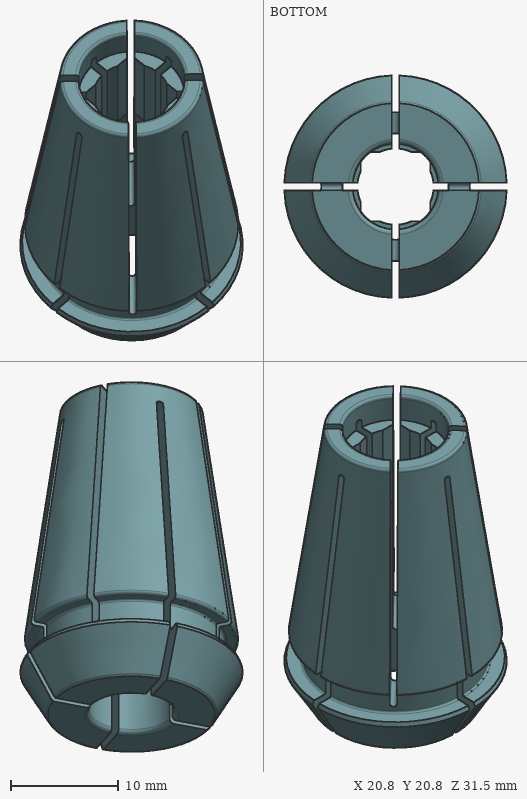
import cadquery as cq
import math

total_height = 31.5
flange_radius = 10.4
flange_top = 4.8
flange_edge_chamfer_height = 0.43
flange_edge_chamfer_width = 0.2
flange_half_angle = 30.0
bottom_chamfer = 0.2

groove_radius = 8.72
groove_top = 7.6
groove_corner_fillet = 0.2

cone_base_radius = 9.97
cone_base_z = 8.0
cone_half_angle = 8.0
cone_base_fillet = 0.3
top_edge_fillet = 0.3

mouth_radius = 4.95
mouth_depth = 2.8
square_side = 6.46
square_relief_radius = 3.55
square_length = 9.0
shank_radius = 4.0
mouth_edge_fillet = 0.3
shank_edge_fillet = 0.45

slit_width = 0.7
upward_slit_top = 29.5
downward_slit_bottom = 5.5
slit_end_tilt = 5.3
slit_overrun = 3.0
slits_per_direction = 4


def cone_radius(z):
    """Radius of the clamping cone at height z."""
    return cone_base_radius - (z - cone_base_z) * math.tan(math.radians(cone_half_angle))


def circle_at(radius, z):
    """Selector for the circular edge of the given radius lying at height z."""
    margin = 0.01
    outer = radius + margin
    inner = radius - margin
    at_height = cq.selectors.BoxSelector(
        (-outer, -outer, z - margin), (outer, outer, z + margin), boundingbox=True
    )
    smaller = cq.selectors.BoxSelector(
        (-inner, -inner, z - margin), (inner, inner, z + margin), boundingbox=True
    )
    return at_height - smaller


def make_body():
    """Turned outer shape: flange, groove and clamping cone."""
    flange_widest_z = flange_top - flange_edge_chamfer_height
    flange_slope = math.tan(math.radians(flange_half_angle))
    chamfer_radius = flange_radius - (flange_widest_z - bottom_chamfer) * flange_slope
    profile = [
        (0, 0),
        (chamfer_radius - bottom_chamfer, 0),
        (chamfer_radius, bottom_chamfer),
        (flange_radius, flange_widest_z),
        (flange_radius - flange_edge_chamfer_width, flange_top),
        (groove_radius, flange_top),
        (groove_radius, groove_top),
        (cone_radius(groove_top), groove_top),
        (cone_radius(total_height), total_height),
        (0, total_height),
    ]
    body = cq.Workplane("XZ").polyline(profile).close().revolve(360, (0, 0, 0), (0, 1, 0))
    body = body.edges(circle_at(groove_radius, flange_top)).fillet(groove_corner_fillet)
    body = body.edges(circle_at(groove_radius, groove_top)).fillet(groove_corner_fillet)
    body = body.edges(circle_at(cone_radius(groove_top), groove_top)).fillet(cone_base_fillet)
    return body.edges(circle_at(cone_radius(total_height), total_height)).fillet(top_edge_fillet)


def cut_bore(body):
    """Round mouth, square drive with round relief, and round shank hole."""
    mouth_floor = total_height - mouth_depth
    square_floor = mouth_floor - square_length
    body = body.cut(cq.Workplane("XY").circle(shank_radius).extrude(square_floor))
    drive = cq.Workplane("XY").workplane(offset=square_floor)
    body = body.cut(drive.rect(square_side, square_side).extrude(square_length))
    body = body.cut(drive.circle(square_relief_radius).extrude(square_length))
    mouth = cq.Workplane("XY").workplane(offset=mouth_floor)
    body = body.cut(mouth.circle(mouth_radius).extrude(mouth_depth))
    body = body.edges(circle_at(mouth_radius, total_height)).fillet(mouth_edge_fillet)
    return body.edges(circle_at(shank_radius, 0)).fillet(shank_edge_fillet)


def make_slit(round_end_z, open_end_z, outer_radius, angle):
    """Slit on one side of the axis, with a round end at one height and open at the other.

    The round end lies at round_end_z where it meets the outside at outer_radius,
    and runs deeper towards the axis.
    """
    end_radius = slit_width / 2
    direction = math.copysign(1, open_end_z - round_end_z)
    centre_z = round_end_z + direction * end_radius
    far_z = open_end_z + direction * slit_overrun
    slit = (
        cq.Workplane("YZ")
        .moveTo(-end_radius, far_z)
        .lineTo(-end_radius, centre_z)
        .threePointArc((0, round_end_z), (end_radius, centre_z))
        .lineTo(end_radius, far_z)
        .close()
        .extrude(2 * flange_radius)
    )
    pivot = (outer_radius, 0, round_end_z)
    pivot_axis_end = (outer_radius, 1, round_end_z)
    slit = slit.rotate(pivot, pivot_axis_end, -direction * slit_end_tilt)
    return slit.rotate((0, 0, 0), (0, 0, 1), angle)


def cut_slits(body):
    """Slits from the bottom and from the top, alternating around the axis."""
    pitch = 360 / slits_per_direction
    upward_outer_radius = cone_radius(upward_slit_top)
    for index in range(slits_per_direction):
        upward_angle = index * pitch
        downward_angle = upward_angle + pitch / 2
        body = body.cut(make_slit(upward_slit_top, 0, upward_outer_radius, upward_angle))
        body = body.cut(make_slit(downward_slit_bottom, total_height, groove_radius, downward_angle))
    return body


result = cut_slits(cut_bore(make_body()))